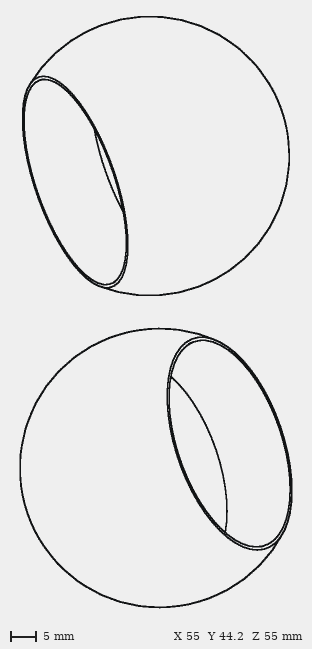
import cadquery as cq
import math

ball_diameter = 55.0
overall_depth = 44.15
ball_radius = ball_diameter / 2
flat_y = ball_radius - overall_depth
rim_radius = math.sqrt(ball_radius**2 - flat_y**2)

pocket_diameter = 42.45
pocket_depth = 15.0
pocket_radius = pocket_diameter / 2
pocket_floor_y = flat_y + pocket_depth

half_section = (
    cq.Workplane("XY")
    .moveTo(0, pocket_floor_y)
    .lineTo(pocket_radius, pocket_floor_y)
    .lineTo(pocket_radius, flat_y)
    .lineTo(rim_radius, flat_y)
    .threePointArc((ball_radius, 0), (0, ball_radius))
    .close()
)

result = half_section.revolve(360, (0, 0, 0), (0, 1, 0))